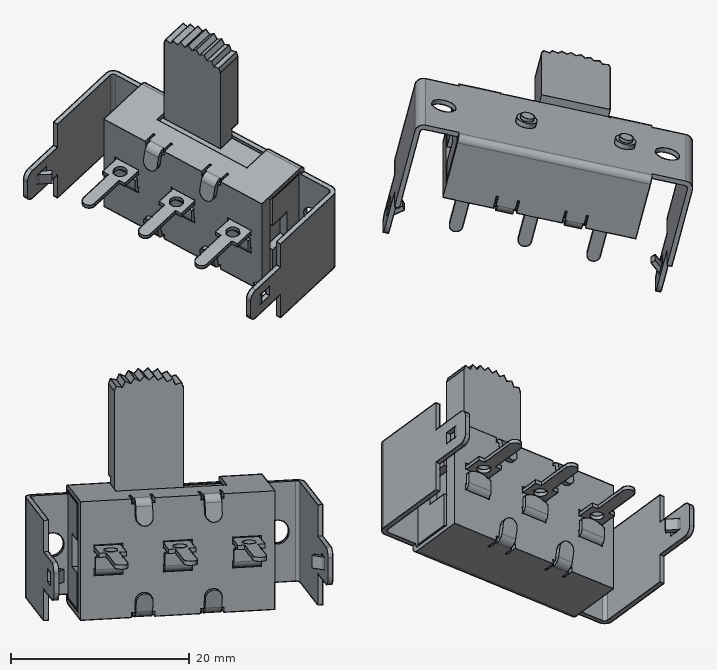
import cadquery as cq
import math


SHEET = 0.58
WING_SPAN = 32.0
WING_HEIGHT = 11.68
WING_REACH = 10.8
WING_BEND = 1.0
TAB_END = 16.35
TAB_HEIGHT = 4.35
TAB_CORNER = 1.0
MOUNT_HOLE = 2.8
MOUNT_SPACING = 25.8

TONGUE_ROOT = 14.55
TONGUE_WINDOW = 1.75
TONGUE_HEIGHT = 1.47
TONGUE_BEND = 0.9
TONGUE_ANGLE = 50.0
TONGUE_STRAIGHT = 1.45

BODY_LENGTH = 22.27
BODY_HEIGHT = 13.82
COVER_BEND = 0.8
WINDOW_LENGTH = 12.67
WINDOW_FRONT = 4.3
BASE_BACK = 6.3
BASE_FRONT = 7.85

LUG_SPACING = 7.95
LUG_ROOT_WIDTH = 2.25
LUG_WIDTH = 1.92
LUG_STRAIGHT_END = 7.42
LUG_BEND = 1.0
LUG_ANGLE = 78.0
LUG_REACH = 2.25
NOTCH_WIDTH = 2.65

BLOCK_BACK = 0.93
BLOCK_FRONT = 5.85
BLOCK_HEIGHT = 12.3
CORE_HEIGHT = 9.6
PAD_BACK = 1.75
PAD_FRONT = 4.8
RECESS_DEPTH = 0.95
RECESS_BACK = 3.2
RECESS_HEIGHT = 3.85
PIP_RADIUS = 0.48
PIP_X = 5.7

RIVET_DIAMETER = 2.35
RIVET_TIP_DIAMETER = 1.57
RIVET_HEAD = 0.6
RIVET_TIP = 1.0
RIVET_PLACES = (-7.95, 3.45)

KNOB_CENTER = -2.3
KNOB_WIDTH = 7.95
KNOB_BACK = 0.2
KNOB_FRONT = 3.07
KNOB_UNDERSIDE = 7.6
KNOB_TOP = 19.78
KNOB_SHOULDER = 18.2
TEETH = 8
TOOTH_ANGLE = 8.6
CREST_RADIUS = 7.5
VALLEY_RADIUS = 6.98

TERMINAL_PITCH = 7.95
TERMINAL_WIDTH = 3.15
TERMINAL_BOTTOM = 1.0
TERMINAL_THICK = 0.48
TERMINAL_SHOULDER = 10.2
TERMINAL_HOLE = 1.57
TERMINAL_HOLE_Y = 9.02
PIN_WIDTH = 1.55
PIN_END = 15.55
SLOT_WIDTH = 3.33
SLOT_DEPTH = 0.8
SLOT_TOP = 1.8
FOOT_BOTTOM = -1.8
FOOT_SIDE_TOP = 0.35
FOOT_TOP = 0.9
FOOT_PROUD = 0.45
FOOT_BEND = 0.8


def block(x_size, y_back, y_front, z_low, z_high, x_center=0.0):
    """Box centred on x_center; y values are distances in front of the cover back face."""
    size_y = y_front - y_back
    size_z = z_high - z_low
    center = (x_center, -(y_back + y_front) / 2, (z_low + z_high) / 2)
    return cq.Workplane("XY").box(x_size, size_y, size_z).translate(center)


def rod(diameter, x, y_back, y_front):
    """Cylinder along Y on the Z = 0 line."""
    length = y_front - y_back
    return cq.Workplane("XZ", origin=(x, -y_back, 0)).circle(diameter / 2).extrude(length)


def mirror_pair(shape, plane):
    return shape.union(shape.mirror(plane))


def make_cover():
    """U-shaped channel, open to the front, with the actuator window in its upper side."""
    outer = block(BODY_LENGTH, 0, BASE_BACK, -BODY_HEIGHT / 2, BODY_HEIGHT / 2)
    outer = outer.edges("|X and >Y").fillet(COVER_BEND)
    inner_half = BODY_HEIGHT / 2 - SHEET
    inner = block(BODY_LENGTH, SHEET, BASE_BACK, -inner_half, inner_half)
    inner = inner.edges("|X and >Y").fillet(COVER_BEND - SHEET)
    window_bottom = BODY_HEIGHT / 2 - COVER_BEND
    window = block(WINDOW_LENGTH, 0, WINDOW_FRONT, window_bottom, BODY_HEIGHT / 2)
    return outer.cut(inner).cut(window)


def make_tongue():
    """Left tongue: bends off the wing and runs inwards and backwards."""
    turn = math.radians(TONGUE_ANGLE)
    half_turn = turn / 2
    inner_bend = TONGUE_BEND - SHEET
    center_x = -WING_SPAN / 2 + TONGUE_BEND
    center_y = -TONGUE_ROOT

    def on_bend(radius, angle):
        return (center_x - radius * math.cos(angle), center_y + radius * math.sin(angle))

    def along(point):
        return (point[0] + TONGUE_STRAIGHT * math.sin(turn), point[1] + TONGUE_STRAIGHT * math.cos(turn))

    outer_end = on_bend(TONGUE_BEND, turn)
    inner_end = on_bend(inner_bend, turn)
    return (
        cq.Workplane("XY", origin=(0, 0, -TONGUE_HEIGHT / 2))
        .moveTo(*on_bend(TONGUE_BEND, 0))
        .threePointArc(on_bend(TONGUE_BEND, half_turn), outer_end)
        .lineTo(*along(outer_end))
        .lineTo(*along(inner_end))
        .lineTo(*inner_end)
        .threePointArc(on_bend(inner_bend, half_turn), on_bend(inner_bend, 0))
        .close()
        .extrude(TONGUE_HEIGHT)
    )


def make_wings():
    """Back strip with both wings bent forwards, each ending in a tab with a tongue."""
    half_height = WING_HEIGHT / 2
    half_tab = TAB_HEIGHT / 2
    outer = block(WING_SPAN, 0, TAB_END, -half_height, half_height)
    outer = outer.edges("|Z and >Y").fillet(WING_BEND)
    inner = block(WING_SPAN - 2 * SHEET, SHEET, TAB_END, -half_height, half_height)
    inner = inner.edges("|Z and >Y").fillet(WING_BEND - SHEET)
    wings = outer.cut(inner)

    profile = block(WING_SPAN, 0, WING_REACH, -half_height, half_height)
    tab = block(WING_SPAN, WING_REACH - TAB_CORNER, TAB_END, -half_tab, half_tab)
    tab = tab.edges("|X and <Y").fillet(TAB_CORNER)
    wings = wings.intersect(profile.union(tab))

    tongue_back = TONGUE_ROOT - TONGUE_WINDOW
    window = block(WING_SPAN, tongue_back, TONGUE_ROOT, -TONGUE_HEIGHT / 2, TONGUE_HEIGHT / 2)
    wings = wings.cut(window).union(mirror_pair(make_tongue(), "YZ"))
    for side in (-1, 1):
        wings = wings.cut(rod(MOUNT_HOLE, side * MOUNT_SPACING / 2, 0, SHEET))
    return wings


def make_lug(x):
    """Upper lug: continues the cover side, bends down over the base and ends in a round tip."""
    turn = math.radians(LUG_ANGLE)
    inner_bend = LUG_BEND - SHEET
    center_y = -LUG_STRAIGHT_END
    center_z = BODY_HEIGHT / 2 - LUG_BEND

    def on_bend(radius, angle):
        return (center_y - radius * math.sin(angle), center_z + radius * math.cos(angle))

    outer_end = on_bend(LUG_BEND, turn)
    inner_end = on_bend(inner_bend, turn)
    run_y = -LUG_REACH * math.cos(turn)
    run_z = -LUG_REACH * math.sin(turn)
    root_y = -BASE_BACK
    strip = (
        cq.Workplane("YZ", origin=(x - LUG_WIDTH / 2, 0, 0))
        .moveTo(root_y, BODY_HEIGHT / 2)
        .lineTo(*on_bend(LUG_BEND, 0))
        .threePointArc(on_bend(LUG_BEND, turn / 2), outer_end)
        .lineTo(outer_end[0] + run_y, outer_end[1] + run_z)
        .lineTo(inner_end[0] + run_y, inner_end[1] + run_z)
        .lineTo(*inner_end)
        .threePointArc(on_bend(inner_bend, turn / 2), on_bend(inner_bend, 0))
        .lineTo(root_y, BODY_HEIGHT / 2 - SHEET)
        .close()
        .extrude(LUG_WIDTH)
    )
    tip_z = outer_end[1] + run_z
    radius = LUG_WIDTH / 2
    outline = (
        cq.Workplane("XZ", origin=(x, -BASE_BACK, 0))
        .moveTo(-radius, BODY_HEIGHT / 2)
        .lineTo(-radius, tip_z + radius)
        .threePointArc((0, tip_z), (radius, tip_z + radius))
        .lineTo(radius, BODY_HEIGHT / 2)
        .close()
        .extrude(2 * LUG_REACH)
    )
    root = block(
        LUG_ROOT_WIDTH, BASE_BACK, LUG_STRAIGHT_END, BODY_HEIGHT / 2 - SHEET, BODY_HEIGHT / 2, x
    )
    return strip.intersect(outline).union(root)


def make_base():
    """Front plate carrying the terminals, notched for the cover lugs."""
    half = BODY_HEIGHT / 2
    base = block(BODY_LENGTH, BASE_BACK, BASE_FRONT, -half, half)
    for side in (-1, 1):
        notch = block(NOTCH_WIDTH, BASE_BACK, BASE_FRONT, half - SHEET, half, side * LUG_SPACING / 2)
        base = base.cut(mirror_pair(notch, "XY"))
    for index in (-1, 0, 1):
        x = index * TERMINAL_PITCH
        slot_back = BASE_FRONT - SLOT_DEPTH
        base = base.cut(block(SLOT_WIDTH, slot_back, BASE_FRONT, TERMINAL_BOTTOM, SLOT_TOP, x))
        foot_slot_top = FOOT_BOTTOM + FOOT_BEND
        base = base.cut(block(SLOT_WIDTH, slot_back, BASE_FRONT, FOOT_BOTTOM, foot_slot_top, x))
    return base


def make_terminal(x):
    """Flat solder terminal with a hole and a round-ended pin, plus its clamping foot below."""
    half = TERMINAL_WIDTH / 2
    pin_half = PIN_WIDTH / 2
    root = -(BASE_FRONT - SLOT_DEPTH)
    blade = (
        cq.Workplane("XY", origin=(x, 0, TERMINAL_BOTTOM))
        .moveTo(-half, root)
        .lineTo(-half, -TERMINAL_SHOULDER)
        .lineTo(-pin_half, -TERMINAL_SHOULDER)
        .lineTo(-pin_half, -PIN_END + pin_half)
        .threePointArc((0, -PIN_END), (pin_half, -PIN_END + pin_half))
        .lineTo(pin_half, -TERMINAL_SHOULDER)
        .lineTo(half, -TERMINAL_SHOULDER)
        .lineTo(half, root)
        .close()
        .moveTo(0, -TERMINAL_HOLE_Y)
        .circle(TERMINAL_HOLE / 2)
        .extrude(TERMINAL_THICK)
    )
    foot = (
        cq.Workplane("XZ", origin=(x, root, 0))
        .moveTo(-half, FOOT_BOTTOM)
        .lineTo(-half, FOOT_SIDE_TOP)
        .threePointArc((0, FOOT_TOP), (half, FOOT_SIDE_TOP))
        .lineTo(half, FOOT_BOTTOM)
        .close()
        .extrude(SLOT_DEPTH + FOOT_PROUD)
        .edges("|X and <Y and <Z")
        .fillet(FOOT_BEND)
    )
    return blade.union(foot)


def make_inner_block():
    """Insulating block behind the base, with its core, lower pad, locating pip and the two rivets."""
    half = BLOCK_HEIGHT / 2
    inner = block(BODY_LENGTH, BLOCK_BACK, BLOCK_FRONT, -half, half)
    inner = inner.union(
        block(WINDOW_LENGTH, BLOCK_FRONT, BASE_BACK, -CORE_HEIGHT / 2, CORE_HEIGHT / 2)
    )
    pad_bottom = SHEET - BODY_HEIGHT / 2
    inner = inner.union(block(WINDOW_LENGTH, PAD_BACK, PAD_FRONT, pad_bottom, -half))
    recess_x = (BODY_LENGTH - RECESS_DEPTH) / 2
    recess_half = RECESS_HEIGHT / 2
    recess = block(RECESS_DEPTH, RECESS_BACK, BLOCK_FRONT, -recess_half, recess_half, recess_x)
    inner = inner.cut(mirror_pair(recess, "YZ"))
    inner = inner.union(cq.Workplane("XY").sphere(PIP_RADIUS).translate((PIP_X, -SHEET, 0)))
    for x in RIVET_PLACES:
        inner = inner.union(rod(RIVET_DIAMETER, x, -RIVET_HEAD, BLOCK_BACK))
        inner = inner.union(rod(RIVET_TIP_DIAMETER, x, -RIVET_TIP, -RIVET_HEAD))
    return inner


def make_actuator():
    """Tall knob with a toothed, arched top, standing on a thinner stem."""
    half = KNOB_WIDTH / 2
    arch_center = KNOB_TOP - CREST_RADIUS * math.cos(math.radians(TOOTH_ANGLE / 2))

    def on_arch(radius, steps):
        angle = math.radians(steps * TOOTH_ANGLE)
        return (radius * math.sin(angle), arch_center + radius * math.cos(angle))

    outline = [(-half, KNOB_UNDERSIDE), (-half, KNOB_SHOULDER)]
    for tooth in range(TEETH):
        steps = tooth - (TEETH - 1) / 2
        outline.append(on_arch(CREST_RADIUS, steps))
        if tooth < TEETH - 1:
            outline.append(on_arch(VALLEY_RADIUS, steps + 0.5))
    outline += [(half, KNOB_SHOULDER), (half, KNOB_UNDERSIDE)]
    knob = (
        cq.Workplane("XZ", origin=(KNOB_CENTER, KNOB_BACK, 0))
        .polyline(outline)
        .close()
        .extrude(KNOB_FRONT + KNOB_BACK)
    )
    stem = block(
        KNOB_WIDTH, BLOCK_BACK, KNOB_FRONT, BLOCK_HEIGHT / 2, KNOB_UNDERSIDE, KNOB_CENTER
    )
    return knob.union(stem)


result = make_cover().union(make_wings()).union(make_base())
for side in (-1, 1):
    result = result.union(mirror_pair(make_lug(side * LUG_SPACING / 2), "XY"))
result = result.union(make_inner_block()).union(make_actuator())
for index in (-1, 0, 1):
    result = result.union(make_terminal(index * TERMINAL_PITCH))